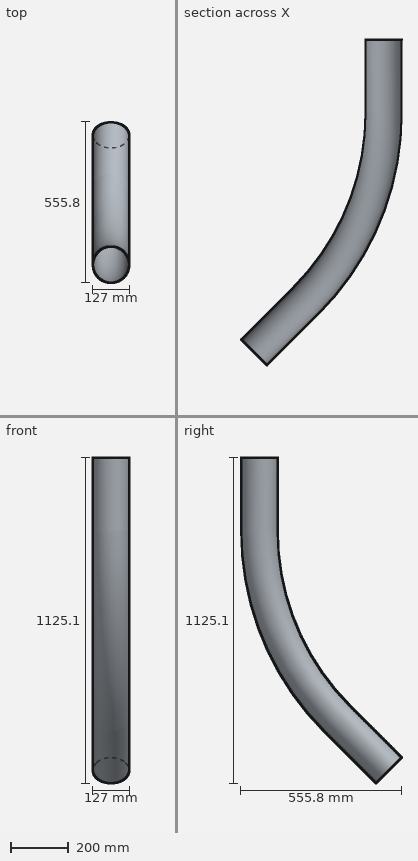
import cadquery as cq
import math

outer_diameter = 127.0
inner_diameter = 123.8
straight_length = 254.0
bend_radius = 914.4
bend_angle = 45.0


def bend_point(angle):
    """Point (y, z) on the bend centreline, at an angle in degrees below its upper end."""
    turn = math.radians(angle)
    y = bend_radius * (1 - math.cos(turn))
    z = -bend_radius * math.sin(turn)
    return y, z


def centreline():
    """Vertical run, tangent arc and sloping run in the YZ plane, from top to bottom."""
    slope = math.radians(bend_angle)
    bend_start = bend_point(0)
    bend_middle = bend_point(bend_angle / 2)
    bend_end = bend_point(bend_angle)
    lower_end = (
        bend_end[0] + straight_length * math.sin(slope),
        bend_end[1] - straight_length * math.cos(slope),
    )
    return (
        cq.Workplane("YZ")
        .moveTo(0, straight_length)
        .lineTo(*bend_start)
        .threePointArc(bend_middle, bend_end)
        .lineTo(*lower_end)
    )


def pipe():
    """Ring section swept along the centreline, open at both ends."""
    return (
        cq.Workplane("XY", origin=(0, 0, straight_length))
        .circle(outer_diameter / 2)
        .circle(inner_diameter / 2)
        .sweep(centreline())
    )


result = pipe()